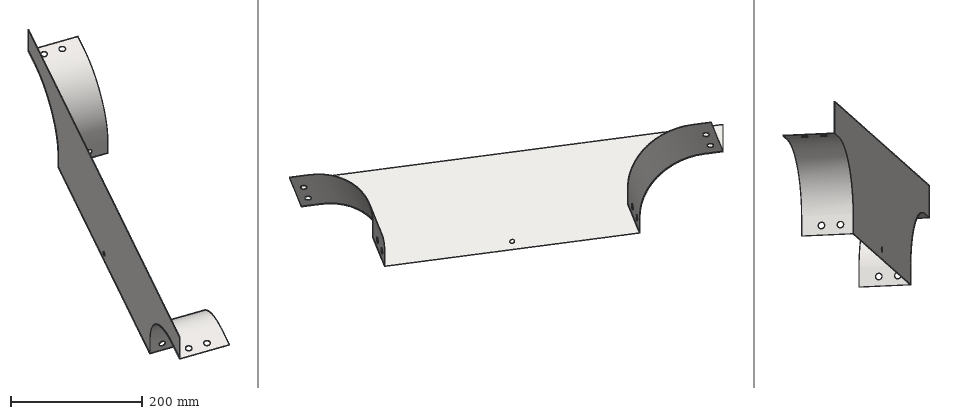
import cadquery as cq

length = 660.0
depth = 81.0
height = 180.0
sheet = 1.0
bend_radius = 99.5
tab = 30.5
web_hole_diameter = 7.0
flange_hole_diameter = 10.0
flange_hole_spacing = 30.0
flange_hole_inset = 31.0

half_length = length / 2
foot_half_width = half_length - tab - bend_radius
curve_end_x = foot_half_width + bend_radius
arm_z = tab + bend_radius
flange_hole_ys = [depth - flange_hole_inset - i * flange_hole_spacing for i in range(2)]


def web():
    """Flat front plate with a concave quarter circle at each lower corner."""
    blank = cq.Workplane("XY").box(length, sheet, height, centered=(True, False, False))
    for side in (-1, 1):
        corner = (
            cq.Workplane("XZ")
            .moveTo(side * foot_half_width, 0)
            .lineTo(side * foot_half_width, tab)
            .radiusArc((side * curve_end_x, arm_z), side * bend_radius)
            .lineTo(side * half_length, arm_z)
            .lineTo(side * half_length, 0)
            .close()
            .extrude(-sheet)
        )
        blank = blank.cut(corner)
    return blank


def flange(side):
    """Strip bent along the outline: vertical tab, quarter circle, horizontal tab."""
    inner_radius = bend_radius + sheet
    return (
        cq.Workplane("XZ")
        .moveTo(side * foot_half_width, 0)
        .lineTo(side * foot_half_width, tab)
        .radiusArc((side * curve_end_x, arm_z), side * bend_radius)
        .lineTo(side * half_length, arm_z)
        .lineTo(side * half_length, arm_z + sheet)
        .lineTo(side * curve_end_x, arm_z + sheet)
        .radiusArc((side * (foot_half_width - sheet), tab), -side * inner_radius)
        .lineTo(side * (foot_half_width - sheet), 0)
        .close()
        .extrude(-depth)
    )


def hole(centre, axis, diameter):
    """Drill along an axis, reaching one diameter to each side of the centre."""
    start = cq.Vector(*centre) - cq.Vector(*axis) * diameter
    return cq.Solid.makeCylinder(diameter / 2, 2 * diameter, start, cq.Vector(*axis))


result = web()
for side in (-1, 1):
    result = result.union(flange(side))

result = result.cut(hole((0, 0, tab / 2), (0, 1, 0), web_hole_diameter))

for side in (-1, 1):
    for y in flange_hole_ys:
        result = result.cut(hole((side * foot_half_width, y, tab / 2), (1, 0, 0), flange_hole_diameter))
        result = result.cut(hole((side * (half_length - tab / 2), y, arm_z), (0, 0, 1), flange_hole_diameter))